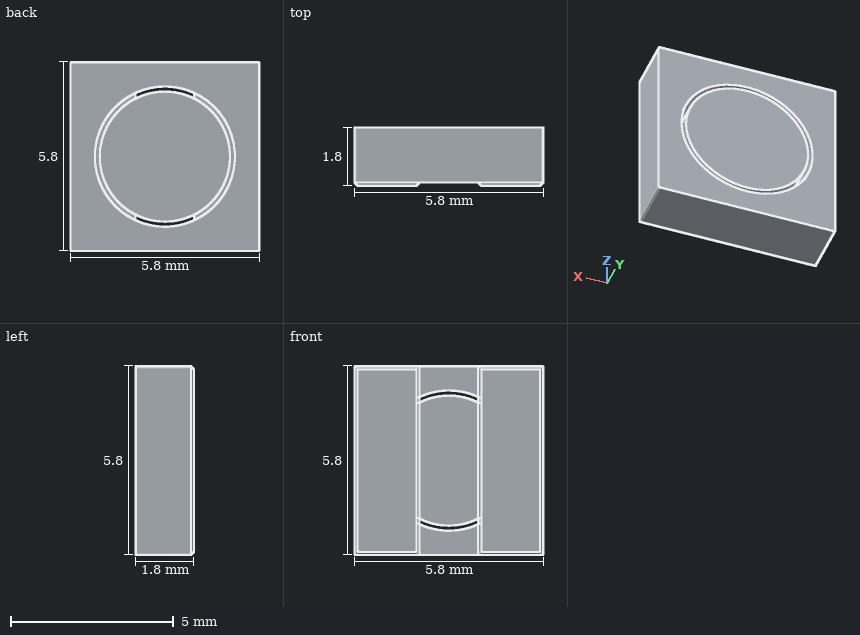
import cadquery as cq

side = 5.8
depth = 1.8
corner_radius = 0.05

pad_height = 0.1
pad_width = 2.0
pad_bevel = 0.1

gap_outer_diameter = 4.305
gap_inner_diameter = 4.0

body_depth = depth - pad_height
pad_center_x = (side - pad_width) / 2


def make_body():
    """Square body with its front face on Y = 0 and rounded corners."""
    block = cq.Workplane("XY").box(side, body_depth, side, centered=(True, False, True))
    return block.edges("|Y").fillet(corner_radius)


def make_gap():
    """Ring-shaped cutter along Y through the whole body."""
    return (
        cq.Workplane("XZ")
        .circle(gap_outer_diameter / 2)
        .circle(gap_inner_diameter / 2)
        .extrude(-body_depth)
    )


def make_pad(center_x):
    """Full-height pad, tapering to its face, with its four sloping corners rounded."""
    pad = (
        cq.Workplane("XZ")
        .center(center_x, 0)
        .rect(pad_width, side)
        .workplane(offset=pad_height)
        .rect(pad_width - 2 * pad_bevel, side - 2 * pad_bevel)
        .loft(ruled=True)
    )
    return pad.edges("not #Y").fillet(corner_radius)


result = make_body().cut(make_gap())
for center_x in (-pad_center_x, pad_center_x):
    result = result.union(make_pad(center_x))